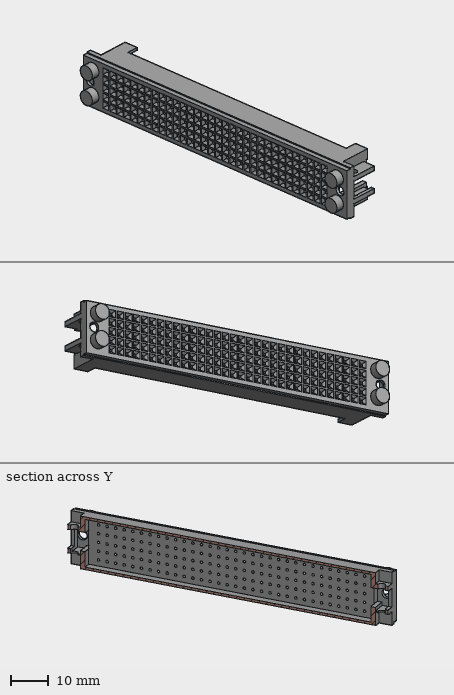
import cadquery as cq

LENGTH = 95.0
HEIGHT = 15.4
FACE_HEIGHT = 14.7
FACE_DEPTH = 1.4
FLOOR_Y = 2.85

FITTINGS_Z = 0.33

WALL_THICKNESS = 0.9
WALL_TOP_Y = 8.7
TAB_TOP_Y = 12.35
WALL_END_X = 43.7
TAB_INNER_X = 39.3

INNER_GAP = 5.4
EAR_THICKNESS = 1.4
EAR_TOP_Y = 10.8
BLOCK_WIDTH = 1.4
BLOCK_STEP_Y = 12.0
EAR_HOLE_DIAMETER = 2.1
EAR_HOLE_X = 45.5
EAR_HOLE_Y = 4.9

POCKET_FLOOR_Y = 0.95
POCKET_EAR_DEPTH = 0.95
POCKET_LIP = 1.0

PEG_DIAMETER = 4.4
PEG_LENGTH = 2.6
PEG_X = 44.1
PEG_Z = 3.8
MOUNT_HOLE_DIAMETER = 2.8
MOUNT_HOLE_X = 45.0

COLUMNS = 32
ROWS = 5
GRID_LENGTH = 78.8
PITCH = GRID_LENGTH / (COLUMNS - 1)
FUNNEL_MOUTH = 2.1
FUNNEL_THROAT = 0.71
FUNNEL_DEPTH = 0.8
CONTACT_HOLE_DIAMETER = 0.7

SIDES = (-1, 1)
WALL_OUTER_Z = HEIGHT / 2
WALL_INNER_Z = WALL_OUTER_Z - WALL_THICKNESS
BLOCK_INNER_X = WALL_END_X - BLOCK_WIDTH


def span_box(x_a, x_b, y_a, y_b, z_a, z_b):
    """Box between two opposite corners, given in any order."""
    size = (abs(x_b - x_a), abs(y_b - y_a), abs(z_b - z_a))
    centre = ((x_a + x_b) / 2, (y_a + y_b) / 2, (z_a + z_b) / 2)
    return cq.Workplane("XY").box(*size).translate(centre)


def y_cylinders(points, diameter, y_start, y_end):
    """Cylinders along Y at the given (X, Z) points."""
    plane = cq.Workplane("XZ", origin=(0, y_end, 0))
    return plane.pushPoints(points).circle(diameter / 2).extrude(y_end - y_start)


def base_plate():
    half = LENGTH / 2
    face = span_box(-half, half, 0, FACE_DEPTH, -FACE_HEIGHT / 2, FACE_HEIGHT / 2)
    floor = span_box(-half, half, FACE_DEPTH, FLOOR_Y, -HEIGHT / 2, HEIGHT / 2)
    return face.union(floor)


def side_wall(side_z):
    """Thin long wall with its two end tabs."""
    z_range = (side_z * WALL_INNER_Z, side_z * WALL_OUTER_Z)
    wall = span_box(-WALL_END_X, WALL_END_X, FLOOR_Y, WALL_TOP_Y, *z_range)
    for side_x in SIDES:
        tab = span_box(side_x * TAB_INNER_X, side_x * WALL_END_X, FLOOR_Y, TAB_TOP_Y, *z_range)
        wall = wall.union(tab)
    return wall


def ear_z_range(side_z):
    """Inner and outer Z of the ear on one side of the gap."""
    inner_z = FITTINGS_Z + side_z * INNER_GAP / 2
    return inner_z, inner_z + side_z * EAR_THICKNESS


def end_block(side_x, side_z):
    """Block closing the end of a wall, stepped down beside the central gap."""
    x_range = (side_x * BLOCK_INNER_X, side_x * WALL_END_X)
    inner_z, outer_z = ear_z_range(side_z)
    outer = span_box(*x_range, FLOOR_Y, TAB_TOP_Y, outer_z, side_z * WALL_OUTER_Z)
    inner = span_box(*x_range, FLOOR_Y, BLOCK_STEP_Y, inner_z, outer_z)
    return outer.union(inner)


def ear(side_x, side_z):
    """Flat plate outside an end block, pierced along Z."""
    inner_z, outer_z = ear_z_range(side_z)
    plate = span_box(side_x * WALL_END_X, side_x * LENGTH / 2, FLOOR_Y, EAR_TOP_Y, inner_z, outer_z)
    hole = cq.Workplane("XY").circle(EAR_HOLE_DIAMETER / 2).extrude(HEIGHT, both=True)
    return plate.cut(hole.translate((side_x * EAR_HOLE_X, EAR_HOLE_Y, 0)))


def rear_pocket(side_x):
    """Tool for the pocket between the ears at one end, open toward the rear."""
    lip_x = side_x * (LENGTH / 2 - POCKET_LIP)
    lower_z, _ = ear_z_range(-1)
    upper_z, _ = ear_z_range(1)
    plate_part = span_box(side_x * BLOCK_INNER_X, lip_x, POCKET_FLOOR_Y, TAB_TOP_Y, lower_z, upper_z)
    ear_part = span_box(
        side_x * WALL_END_X,
        lip_x,
        POCKET_FLOOR_Y,
        TAB_TOP_Y,
        lower_z - POCKET_EAR_DEPTH,
        lower_z,
    )
    return plate_part.union(ear_part)


def contact_opening():
    """Tool for one opening: a tapered square mouth and a round hole through the plate."""
    funnel = (
        cq.Workplane("XZ")
        .rect(FUNNEL_MOUTH, FUNNEL_MOUTH)
        .workplane(offset=-FUNNEL_DEPTH)
        .rect(FUNNEL_THROAT, FUNNEL_THROAT)
        .loft(ruled=True)
    )
    return funnel.union(y_cylinders([(0, 0)], CONTACT_HOLE_DIAMETER, 0, FLOOR_Y))


def contact_openings():
    """Tools for the whole grid, gathered in one compound."""
    opening = contact_opening().val()
    tools = []
    for column in range(COLUMNS):
        for row in range(ROWS):
            x = (column - (COLUMNS - 1) / 2) * PITCH
            z = (row - (ROWS - 1) / 2) * PITCH
            tools.append(opening.translate(cq.Vector(x, 0, z)))
    return cq.Workplane(cq.Compound.makeCompound(tools))


mount_points = [(side_x * MOUNT_HOLE_X, FITTINGS_Z) for side_x in SIDES]
peg_points = [(side_x * PEG_X, FITTINGS_Z + side_z * PEG_Z) for side_x in SIDES for side_z in SIDES]

result = base_plate()
for side_z in SIDES:
    result = result.union(side_wall(side_z))
    for side_x in SIDES:
        result = result.union(end_block(side_x, side_z))
        result = result.union(ear(side_x, side_z))
for side_x in SIDES:
    result = result.cut(rear_pocket(side_x))
result = result.cut(y_cylinders(mount_points, MOUNT_HOLE_DIAMETER, 0, FLOOR_Y))
result = result.union(y_cylinders(peg_points, PEG_DIAMETER, -PEG_LENGTH, 0))
result = result.cut(contact_openings())